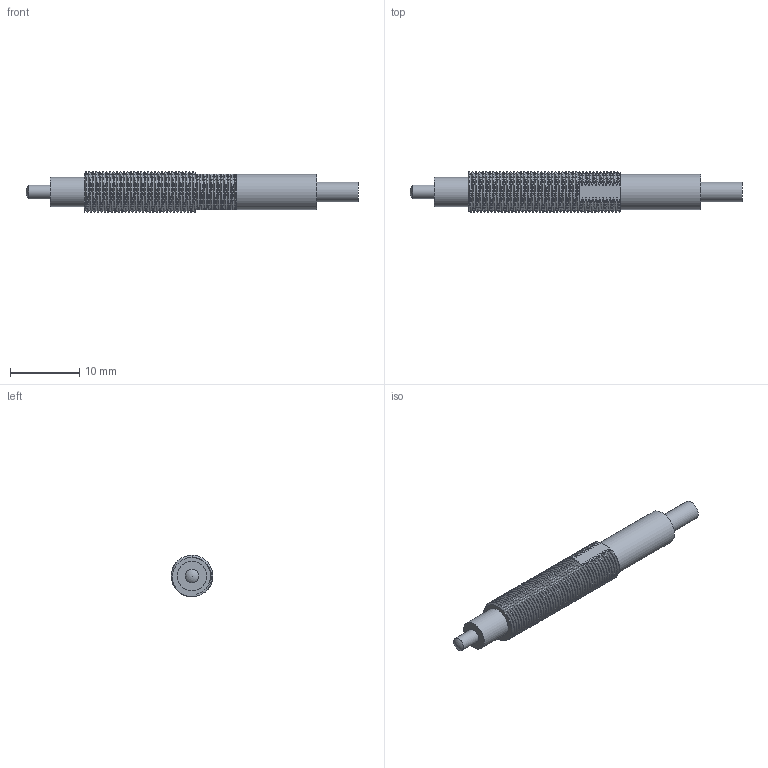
import cadquery as cq
import math

total_length = 48.0
tip_length = 3.5
collar_length = 4.9
thread_length = 22.0
rod_length = 11.6

tip_diameter = 2.0
collar_diameter = 4.25
thread_diameter = 6.0
rod_diameter = 5.1
tail_diameter = 2.8

tip_dome_height = 0.4

pitch = 0.5
flank_angle = math.radians(30)
thread_depth = 17 / 24 * pitch * math.cos(flank_angle)
crest_width = pitch / 8
groove_start_angle = 180.0
groove_overshoot = 0.05

flat_length = 5.9
flat_spacing = rod_diameter

thread_start = tip_length + collar_length
thread_end = thread_start + thread_length
rod_end = thread_end + rod_length


def cylinder(start, end, diameter):
    """Cylinder on the X axis between two stations."""
    return cq.Workplane("YZ", origin=(start, 0, 0)).circle(diameter / 2).extrude(end - start)


def domed_tip():
    """Pin whose free end is a shallow spherical cap."""
    radius = tip_diameter / 2
    sphere_radius = (radius**2 + tip_dome_height**2) / (2 * tip_dome_height)
    mid_angle = math.asin(radius / sphere_radius) / 2
    arc_middle = (sphere_radius * (1 - math.cos(mid_angle)), sphere_radius * math.sin(mid_angle))
    return (
        cq.Workplane("XY")
        .threePointArc(arc_middle, (tip_dome_height, radius))
        .lineTo(tip_length, radius)
        .lineTo(tip_length, 0)
        .close()
        .revolve(360, (0, 0, 0), (1, 0, 0))
    )


def flatted_cylinder():
    """Thread blank at the crest diameter, with a flat on top and bottom near its rod end."""
    round_part = cylinder(thread_start, thread_end - flat_length, thread_diameter)
    between_flats = cq.Workplane("XY").box(flat_length, thread_diameter, flat_spacing)
    between_flats = between_flats.translate((thread_end - flat_length / 2, 0, 0))
    flat_part = cylinder(thread_end - flat_length, thread_end, thread_diameter).intersect(between_flats)
    return round_part.union(flat_part)


def thread_groove():
    """Helical groove cutter, running one pitch past each end of the thread."""
    root_radius = thread_diameter / 2 - thread_depth
    outer_radius = thread_diameter / 2 + groove_overshoot
    mouth_half = (pitch - crest_width) / 2
    root_half = mouth_half - thread_depth * math.tan(flank_angle)
    outer_half = mouth_half + groove_overshoot * math.tan(flank_angle)
    turns = math.ceil(thread_length / pitch) + 2

    section = [
        (root_radius, -root_half),
        (outer_radius, -outer_half),
        (outer_radius, outer_half),
        (root_radius, root_half),
    ]
    helices = []
    for radius, offset in section:
        helix = cq.Wire.makeHelix(pitch, pitch, radius)
        helices.append(helix.translate(cq.Vector(0, 0, offset)))

    faces = []
    for side in range(len(helices)):
        strip = cq.Face.makeRuledSurface(helices[side - 1], helices[side])
        for turn in range(turns):
            faces.extend(strip.translate(cq.Vector(0, 0, turn * pitch)).Faces())

    for end_height in (0, turns * pitch):
        corners = [cq.Vector(radius, 0, end_height + offset) for radius, offset in section]
        faces.append(cq.Face.makeFromWires(cq.Wire.makePolygon(corners, close=True)))

    origin = cq.Vector(0, 0, 0)
    groove = cq.Solid.makeSolid(cq.Shell.makeShell(faces))
    groove = groove.rotate(origin, cq.Vector(0, 1, 0), 90)
    groove = groove.rotate(origin, cq.Vector(1, 0, 0), groove_start_angle)
    return cq.Workplane(groove.translate(cq.Vector(thread_start - pitch, 0, 0)))


blank = (
    domed_tip()
    .union(cylinder(tip_length, thread_start, collar_diameter))
    .union(flatted_cylinder())
    .union(cylinder(thread_end, rod_end, rod_diameter))
    .union(cylinder(rod_end, total_length, tail_diameter))
)

result = blank.cut(thread_groove()).solids()